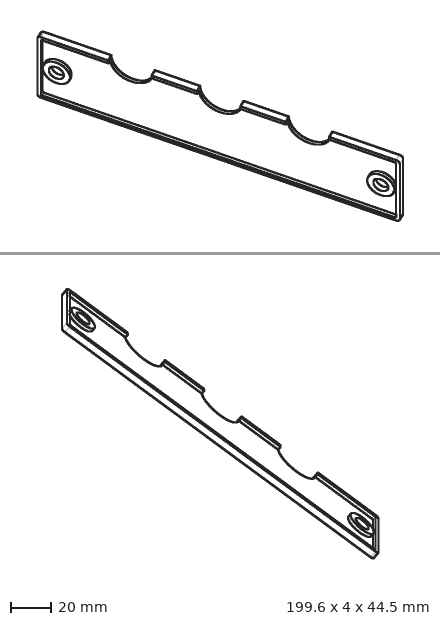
import cadquery as cq

length = 199.6
thickness = 4.0
height = 44.5
corner_radius = 2.0

rim_width = 2.0
recess_depth = 2.0
recess_corner_radius = 1.0

notch_radius = 12.0
notch_pitch = 49.0
notch_count = 3

boss_diameter = 15.0
boss_height = recess_depth
boss_gap = 1.0
hole_diameter = 8.2
hole_depth = 3.0
boss_inset = rim_width + boss_gap + boss_diameter / 2

front_y = -thickness / 2
floor_y = front_y + recess_depth
boss_top_y = floor_y - boss_height


def cylinder_along_y(diameter, x, z, start_y, depth):
    """Cylinder running from start_y towards +Y."""
    return cq.Workplane(
        cq.Solid.makeCylinder(
            diameter / 2, depth, cq.Vector(x, start_y, z), cq.Vector(0, 1, 0)
        )
    )


def rounded_block(size_x, size_y, size_z, radius):
    """Centred block with its edges along Y rounded."""
    return cq.Workplane("XY").box(size_x, size_y, size_z).edges("|Y").fillet(radius)


plate = rounded_block(length, thickness, height, corner_radius)

recess = rounded_block(
    length - 2 * rim_width, recess_depth, height - 2 * rim_width, recess_corner_radius
).translate((0, front_y + recess_depth / 2, 0))
result = plate.cut(recess)

for index in range(notch_count):
    notch_x = (index - (notch_count - 1) / 2) * notch_pitch
    notch = cylinder_along_y(2 * notch_radius, notch_x, height / 2, front_y, thickness)
    result = result.cut(notch)

for side in (-1, 1):
    boss_x = side * (length / 2 - boss_inset)
    boss = cylinder_along_y(boss_diameter, boss_x, 0, boss_top_y, boss_height)
    hole = cylinder_along_y(hole_diameter, boss_x, 0, boss_top_y, hole_depth)
    result = result.union(boss).cut(hole)